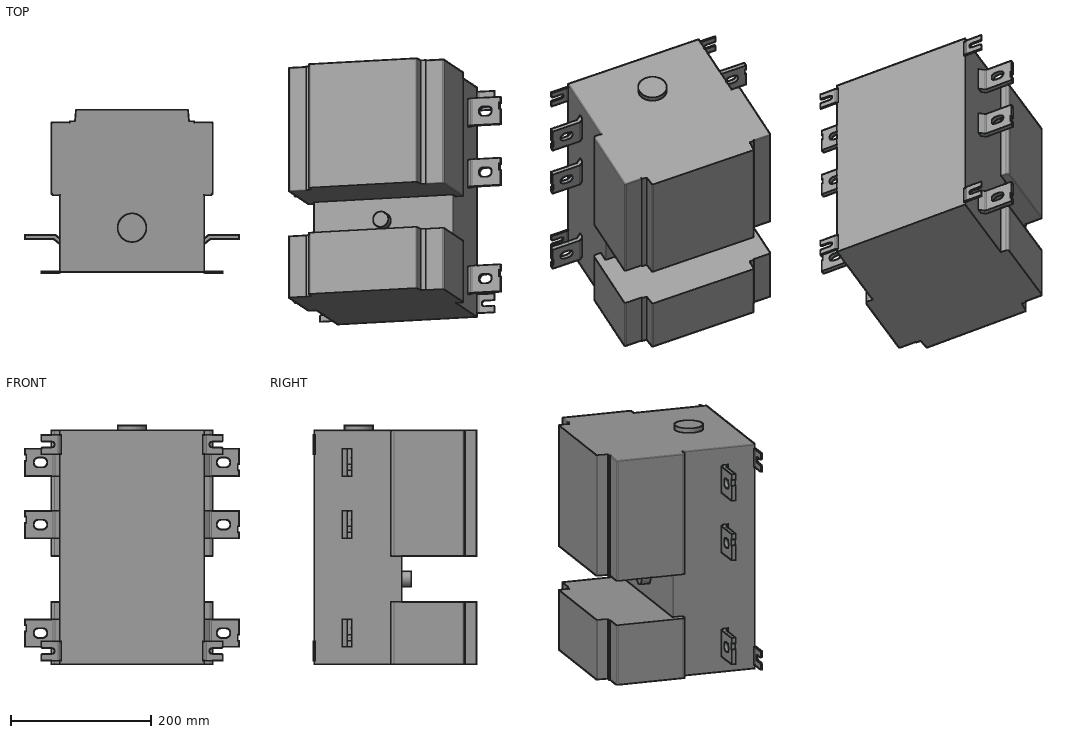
import cadquery as cq
import math

depth = 233.2
body_top = 334.2
body_front = 1.5
body_half = 103.3
wing_half = 115.3
wing_front = 110.8
wing_back = 215.5
lip_half = 88.5
lip_height = 1.5
rear_foot_half = 81.5
rear_half = 80.0
wing_front_round = 4.0
wing_back_round = 2.0
rear_round = 1.5
rim_round = 1.0

gap_bottom = 89.0
gap_top = 154.5
gap_floor = 126.5

cap_diameter = 41
cap_y = 64.8
cap_top = 341
button_diameter = 22.5
button_length = 13.5

terminal_tip = 152.8
terminal_front = 48.5
terminal_thickness = 6.0
terminal_height = 39.2
terminal_centers = (44.7, 199.5, 288.0)
terminal_bend_x = 111.5
terminal_bend_angle = 40
terminal_bend_radius = 3.8
terminal_hole_x = 130.5
terminal_hole_length = 19.0
terminal_hole_height = 13.5
end_notch_height = 9.0
end_notch_depth = 1.7
end_notch_offset = 6.8

tab_tip = 129.5
tab_thickness = 2.5
tab_height = 27.3
tab_centers = (19.0, 313.7)
tab_bend_x = 104.7
tab_bend_angle = -20
tab_bend_radius = 6.8
tab_slot_height = 8.2
tab_slot_end = 110.5
tab_slot_lead = 1.5

embed = 3.5


def symmetric_prism(right_outline, bottom, top):
    """Upright prism whose outline is given on +X and mirrored to -X."""
    left_outline = [(-x, y) for x, y in reversed(right_outline)]
    return (
        cq.Workplane("XY", origin=(0, 0, bottom))
        .polyline(right_outline + left_outline)
        .close()
        .extrude(top - bottom)
    )


def round_upright_edges(solid, x, y, z, radius):
    """Round the upright edge at (x, y) and its mirror image."""
    for side in (-1, 1):
        nearest = cq.selectors.NearestToPointSelector((side * x, y, z))
        solid = solid.edges(nearest).fillet(radius)
    return solid


def make_housing():
    core = symmetric_prism([(body_half, body_front), (body_half, gap_floor)], 0, body_top)
    core = round_upright_edges(core, body_half, gap_floor, body_top / 2, rim_round)
    stepped_outline = [
        (body_half, body_front),
        (body_half, wing_front),
        (wing_half, wing_front),
        (wing_half, wing_back),
        (lip_half, wing_back),
        (lip_half, wing_back + lip_height),
        (rear_foot_half, wing_back + lip_height),
        (rear_half, depth),
    ]
    housing = core
    for bottom, top in ((0, gap_bottom), (gap_top, body_top)):
        block = symmetric_prism(stepped_outline, bottom, top)
        middle = (bottom + top) / 2
        block = round_upright_edges(block, wing_half, wing_front, middle, wing_front_round)
        block = round_upright_edges(block, wing_half, wing_back, middle, wing_back_round)
        block = round_upright_edges(block, rear_half, depth, middle, rear_round)
        if top == body_top:
            for side in (-1, 1):
                wing_rim = (side * wing_half, (wing_front + wing_back) / 2, gap_top)
                block = block.edges(cq.selectors.NearestToPointSelector(wing_rim)).fillet(rim_round)
        housing = housing.union(block)
    margin = rim_round
    top_rim = cq.selectors.BoxSelector(
        (-wing_half - margin, body_front + margin, body_top - margin),
        (wing_half + margin, wing_back - margin, body_top + margin),
    )
    return housing.edges(top_rim).edges("#Z").fillet(rim_round)


def make_cap():
    return (
        cq.Workplane("XY", origin=(0, cap_y, body_top - embed))
        .circle(cap_diameter / 2)
        .extrude(cap_top - body_top + embed)
    )


def make_button():
    center_z = (gap_bottom + gap_top) / 2
    return (
        cq.Workplane("XZ", origin=(0, gap_floor + button_length, center_z))
        .circle(button_diameter / 2)
        .extrude(button_length + embed)
    )


def make_bent_strip(tip, front, thickness, height, bend_x, bend_angle, bend_radius):
    """Strip from the tip inwards to the housing on +X; a positive angle bends its root towards -Y."""
    angle = math.radians(bend_angle)
    back = front + thickness
    root_x = body_half - 2 * embed
    root_front = front - (bend_x - root_x) * math.tan(angle)
    root_back = root_front + thickness / math.cos(angle)
    back_bend_x = bend_x - thickness * math.tan(angle / 2)
    profile = [
        (tip, back),
        (tip, front),
        (bend_x, front),
        (root_x, root_front),
        (root_x, root_back),
        (back_bend_x, back),
    ]
    strip = cq.Workplane("XY", origin=(0, 0, -height / 2)).polyline(profile).close().extrude(height)
    for bend in ((bend_x, front, 0), (back_bend_x, back, 0)):
        strip = strip.edges(cq.selectors.NearestToPointSelector(bend)).fillet(bend_radius)
    return strip


def make_terminal():
    """Terminal on the +X side, centred on Z = 0, with an oblong hole and a notch in its tip."""
    strip = make_bent_strip(
        terminal_tip,
        terminal_front,
        terminal_thickness,
        terminal_height,
        terminal_bend_x,
        terminal_bend_angle,
        terminal_bend_radius,
    )
    hole = (
        cq.Workplane("XZ", origin=(terminal_hole_x, depth, 0))
        .slot2D(terminal_hole_length, terminal_hole_height)
        .extrude(depth)
    )
    notch = (
        cq.Workplane("XY", origin=(terminal_tip, terminal_front, -end_notch_offset))
        .box(2 * end_notch_depth, 4 * terminal_thickness, end_notch_height)
    )
    return strip.cut(hole).cut(notch)


def make_tab():
    """Mounting tab on the +X side, centred on Z = 0, with a slot open at its tip."""
    strip = make_bent_strip(
        tab_tip,
        0,
        tab_thickness,
        tab_height,
        tab_bend_x,
        tab_bend_angle,
        tab_bend_radius,
    )
    slot_half = tab_slot_height / 2
    arc_x = tab_slot_end + slot_half
    lead_x = tab_tip - tab_slot_lead
    mouth_half = slot_half + tab_slot_lead
    slot = (
        cq.Workplane("XZ", origin=(0, 2 * tab_thickness, 0))
        .moveTo(tab_tip, mouth_half)
        .lineTo(lead_x, slot_half)
        .lineTo(arc_x, slot_half)
        .threePointArc((tab_slot_end, 0), (arc_x, -slot_half))
        .lineTo(lead_x, -slot_half)
        .lineTo(tab_tip, -mouth_half)
        .close()
        .extrude(3 * tab_thickness)
    )
    return strip.cut(slot)


def on_both_sides(piece, center_z):
    """The +X piece at the given height and a copy on -X, turned half round about the Y direction."""
    turned = piece.rotate((0, 0, 0), (0, 1, 0), 180)
    return piece.union(turned).translate((0, 0, center_z))


result = make_housing().union(make_cap()).union(make_button())
for terminal_z in terminal_centers:
    result = result.union(on_both_sides(make_terminal(), terminal_z))
for tab_z in tab_centers:
    result = result.union(on_both_sides(make_tab(), tab_z))